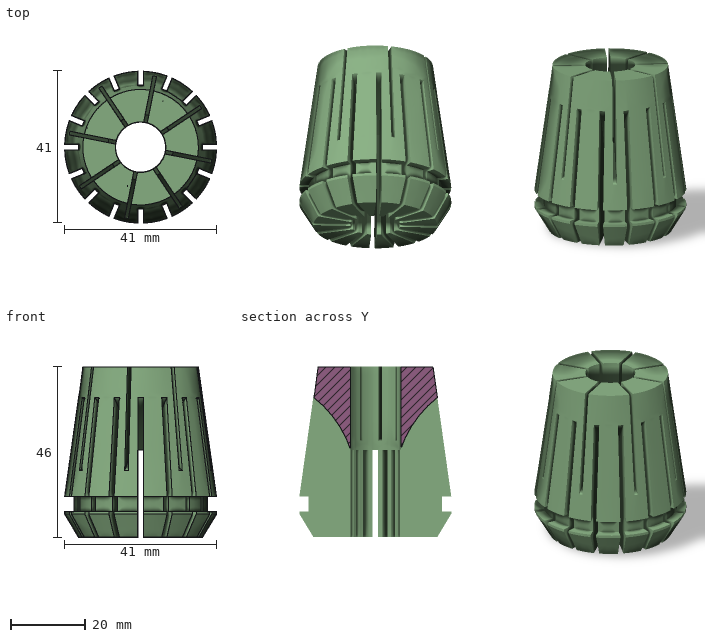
import cadquery as cq
import math

height = 46.0
max_radius = 20.5
taper_angle = 8.0
taper_start = 11.0
groove_radius = 18.0
rim_top = 7.0
rim_height = 0.7
base_radius = 16.7
bore_radius = 6.75

cutter_radius = 30.0
clearance = 2.0

lower_slot_count = 16
lower_slot_width = 1.5
lower_slot_end = 37.75
lower_slot_bore_end = 23.55

upper_slot_count = 8
upper_slot_width = 1.0
upper_slot_end = 18.0
upper_slot_offset = -180.0 / lower_slot_count
crest_radius = 8.85
crest_height = 26.5
crest_fall_angle = 13.0


def cone_radius(z):
    """Radius of the clamping cone at height z."""
    return max_radius - (z - taper_start) * math.tan(math.radians(taper_angle))


def make_body():
    outline = [
        (bore_radius, 0),
        (base_radius, 0),
        (max_radius, rim_top - rim_height),
        (max_radius, rim_top),
        (groove_radius, rim_top),
        (groove_radius, taper_start),
        (max_radius, taper_start),
        (cone_radius(height), height),
        (bore_radius, height),
    ]
    return cq.Workplane("XZ").polyline(outline).close().revolve(360, (0, 0, 0), (0, 1, 0))


def floor_arc(inner_point, end_z):
    """Start, middle and end of the cutter arc from inner_point out past the clamping cone at end_z.

    The cutter sits outside the part, below the floor of a lower slot or above that of an upper slot.
    """
    inner_r, inner_z = inner_point
    end_r = cone_radius(end_z)
    run = end_r - inner_r
    rise = end_z - inner_z
    chord = math.hypot(run, rise)
    center_distance = math.sqrt(cutter_radius**2 - (chord / 2)**2)
    side = math.copysign(1, rise)
    center_r = (inner_r + end_r) / 2 + center_distance * abs(rise) / chord
    center_z = (inner_z + end_z) / 2 - side * center_distance * run / chord

    def on_arc(r):
        return (r, center_z + side * math.sqrt(cutter_radius**2 - (center_r - r)**2))

    outer_r = max_radius + clearance
    return inner_point, on_arc((inner_r + outer_r) / 2), on_arc(outer_r)


def make_slot(floor_start, arc_start, end_z, open_z, width):
    """Slot along +X: a straight floor from floor_start to arc_start, then the cutter arc."""
    start, middle, end = floor_arc(arc_start, end_z)
    return (
        cq.Workplane("XZ")
        .moveTo(*floor_start)
        .lineTo(*start)
        .threePointArc(middle, end)
        .lineTo(end[0], open_z)
        .lineTo(floor_start[0], open_z)
        .close()
        .extrude(width / 2, both=True)
    )


def make_lower_slot():
    inside_bore = (bore_radius - clearance, lower_slot_bore_end)
    bore_end = (bore_radius, lower_slot_bore_end)
    return make_slot(inside_bore, bore_end, lower_slot_end, -clearance, lower_slot_width)


def make_upper_slot():
    inner_r = bore_radius - clearance
    fall = (crest_radius - inner_r) * math.tan(math.radians(crest_fall_angle))
    inside_bore = (inner_r, crest_height - fall)
    crest = (crest_radius, crest_height)
    return make_slot(inside_bore, crest, upper_slot_end, height + clearance, upper_slot_width)


def cut_slots(part, slot, count, first_angle):
    for i in range(count):
        angle = first_angle + i * 360 / count
        part = part.cut(slot.rotate((0, 0, 0), (0, 0, 1), angle))
    return part


result = make_body()
result = cut_slots(result, make_lower_slot(), lower_slot_count, 0)
result = cut_slots(result, make_upper_slot(), upper_slot_count, upper_slot_offset)